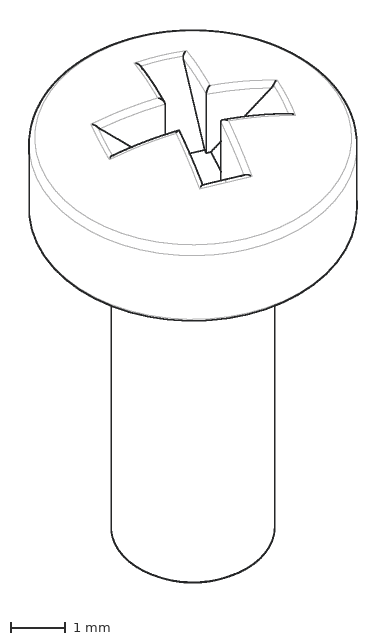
import cadquery as cq
import math

shank_diameter = 3.0
shank_length = 8.0
tip_chamfer = 0.2

head_diameter = 6.0
head_height = 2.6
dome_radius = 6.0
rim_fillet = 0.2
underside_fillet = 0.1

recess_width = 0.8
recess_mouth_reach = 1.76
recess_floor_reach = 0.49
recess_floor_z = 1.0
recess_lip_fillet = 0.1


def dome_z(radius):
    """Height of the spherical dome at a distance from the screw axis."""
    return head_height - dome_radius + math.sqrt(dome_radius**2 - radius**2)


def edges_between(body, bottom_z, top_z):
    """Edges of the head whose centres lie between two heights."""
    corner = (-head_diameter, -head_diameter, bottom_z)
    opposite_corner = (head_diameter, head_diameter, top_z)
    return body.edges(cq.selectors.BoxSelector(corner, opposite_corner))


def make_shank():
    shank = cq.Workplane("XY").circle(shank_diameter / 2).extrude(-shank_length)
    return shank.faces("<Z").chamfer(tip_chamfer)


def make_head():
    head_radius = head_diameter / 2
    rim_z = dome_z(head_radius)
    mid_radius = head_radius / 2
    head = (
        cq.Workplane("XZ")
        .lineTo(head_radius, 0)
        .lineTo(head_radius, rim_z)
        .threePointArc((mid_radius, dome_z(mid_radius)), (0, head_height))
        .close()
        .revolve(360, (0, 0, 0), (0, 1, 0))
    )
    rim_edges = edges_between(head, rim_z - rim_fillet, rim_z + rim_fillet).edges("%CIRCLE")
    head = rim_edges.fillet(rim_fillet)
    return head.faces("<Z").edges().fillet(underside_fillet)


def make_recess_arm(plane):
    """A pair of opposite recess arms: a slot whose ends slope in to the floor."""
    mouth_z = dome_z(recess_mouth_reach)
    end_slope = (recess_mouth_reach - recess_floor_reach) / (mouth_z - recess_floor_z)
    top_reach = recess_mouth_reach + end_slope * (head_height - mouth_z)
    return (
        cq.Workplane(plane)
        .moveTo(-recess_floor_reach, recess_floor_z)
        .lineTo(recess_floor_reach, recess_floor_z)
        .lineTo(top_reach, head_height)
        .lineTo(-top_reach, head_height)
        .close()
        .extrude(recess_width / 2, both=True)
    )


def cut_recess(head):
    recess = make_recess_arm("XZ").union(make_recess_arm("YZ"))
    head = head.cut(recess)
    lip_bottom = dome_z(recess_mouth_reach) - recess_lip_fillet
    lip_edges = edges_between(head, lip_bottom, head_height)
    return lip_edges.fillet(recess_lip_fillet)


result = make_shank().union(cut_recess(make_head()))